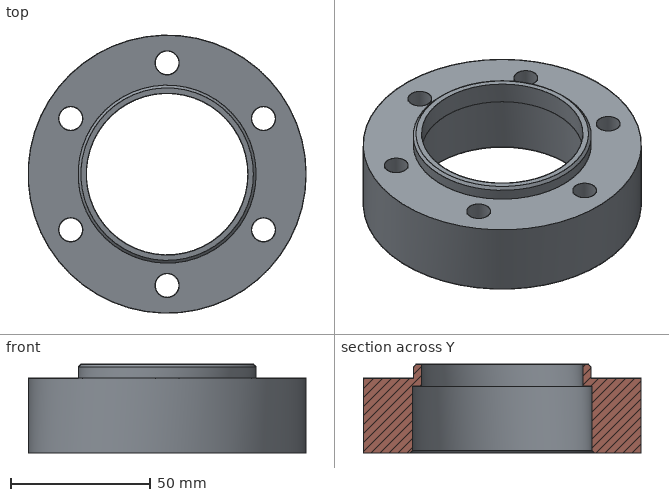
import cadquery as cq

flange_diameter = 100.0
flange_height = 27.0
boss_diameter = 64.0
boss_height = 5.0
boss_chamfer = 1.0
total_height = flange_height + boss_height

bore_diameter = 58.0
bore_depth = 8.0
counterbore_diameter = 64.4
counterbore_chamfer = 1.0
counterbore_depth = total_height - bore_depth

hole_count = 6
hole_diameter = 8.5
bolt_circle_diameter = 80.0
first_hole_angle = 90.0


def cylinder(diameter, height):
    """Vertical cylinder standing on the base plane."""
    return cq.Workplane("XY").circle(diameter / 2).extrude(height)


def bolt_holes():
    """Through-hole cutters spaced evenly on the bolt circle."""
    return (
        cq.Workplane("XY")
        .polarArray(bolt_circle_diameter / 2, first_hole_angle, 360, hole_count)
        .circle(hole_diameter / 2)
        .extrude(flange_height)
    )


flange = cylinder(flange_diameter, flange_height)
boss = cylinder(boss_diameter, total_height).faces(">Z").edges().chamfer(boss_chamfer)
bore = cylinder(bore_diameter, total_height)
counterbore = cylinder(counterbore_diameter, counterbore_depth)
counterbore_mouth = (
    cq.Workplane("XY")
    .circle(counterbore_diameter / 2 + counterbore_chamfer)
    .workplane(offset=counterbore_chamfer)
    .circle(counterbore_diameter / 2)
    .loft(ruled=True)
)

result = flange.union(boss).cut(bore).cut(counterbore).cut(counterbore_mouth).cut(bolt_holes())